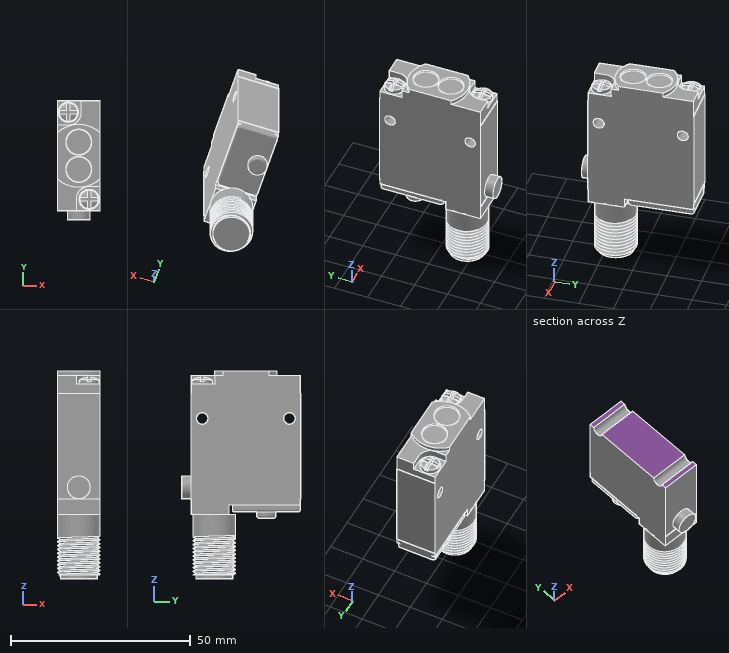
import cadquery as cq
import math

total_height = 58.05
width = 11.95
half_width = width / 2

housing_depth = 30.5
housing_top = 56.8
housing_bottom = 20.6
foot_depth = 10.55
foot_bottom = 18.0
sleeve_proud = 0.1
sleeve_bottom = 22.25
sleeve_top = 51.8

mount_hole_diameter = 3.15
mount_hole_z = 44.8
mount_hole_inset = 3.1

pedestal_diameter = 17.55
lens_spacing = 7.6
lens_rim_diameter = 7.25
lens_floor_diameter = 7.0
lens_depth = 0.45

pocket_side = 6.7
pocket_corner_radius = 3.55
pocket_floor = 54.35
screw_inset = 3.1
screw_diameter = 5.65
screw_rim_height = 0.7
screw_edge_height = 1.3
screw_head_height = 2.0
screw_dome_diameter = 5.15
screw_slot_width = 1.0
screw_slot_length = 5.0
screw_slot_depth = 1.3

button_diameter = 6.4
button_z = 25.55
button_length = 2.55

cover_length = 19.0
cover_thickness = 1.9
cover_corner_radius = 0.95
cover_edge_radius = 0.6
cover_side_gap = 0.1
knob_diameter = 5.4
knob_y = 20.95
knob_height = 1.8
knob_edge_radius = 0.75

connector_diameter = width
connector_y = 6.45
thread_pitch = 1.07
thread_depth = 0.8
thread_crest_flat = 0.05
thread_bottom = 1.1
thread_turns = 11.27
thread_end_z = 11.75
tip_diameter = connector_diameter - 2 * thread_depth

middle_y = housing_depth / 2
screw_x = screw_inset - half_width


def cylinder_z(x, y, z, diameter, height):
    """Upright cylinder standing on height z."""
    return cq.Workplane("XY", origin=(x, y, z)).circle(diameter / 2).extrude(height)


def box_between(x0, x1, y0, y1, z0, z1):
    """Box given by its limits along each axis."""
    return cq.Workplane("XY").box(x1 - x0, y1 - y0, z1 - z0, centered=False).translate((x0, y0, z0))


def make_housing():
    """Body with a lower foot at the front and a slightly proud middle sleeve."""
    upper = box_between(-half_width, half_width, 0, housing_depth, housing_bottom, housing_top)
    foot = box_between(-half_width, half_width, 0, foot_depth, foot_bottom, housing_bottom)
    sleeve = box_between(
        -half_width, half_width, -sleeve_proud, housing_depth + sleeve_proud, sleeve_bottom, sleeve_top
    )
    return upper.union(foot).union(sleeve)


def make_pedestal():
    """Round block on the top, cut flush with both sides and hollowed by two slightly tapered lens seats."""
    height = total_height - housing_top
    disc = cylinder_z(0, middle_y, housing_top, pedestal_diameter, height)
    strip = box_between(-half_width, half_width, 0, housing_depth, housing_top, total_height)
    pedestal = disc.intersect(strip)
    taper = math.degrees(math.atan((lens_rim_diameter - lens_floor_diameter) / 2 / lens_depth))
    for side in (-1, 1):
        seat = (
            cq.Workplane("XY", origin=(0, middle_y + side * lens_spacing / 2, total_height))
            .circle(lens_rim_diameter / 2)
            .extrude(-lens_depth, taper=taper)
        )
        pedestal = pedestal.cut(seat)
    return pedestal


def make_pocket():
    """Cutter for the pocket in the back left corner, rounded at its inner corner."""
    pocket = box_between(
        -half_width,
        pocket_side - half_width,
        housing_depth - pocket_side,
        housing_depth,
        pocket_floor,
        housing_top,
    )
    return pocket.edges("|Z and >X and <Y").fillet(pocket_corner_radius)


def make_screw():
    """Domed head with a cross slot, standing in the back left pocket."""
    radius = screw_diameter / 2
    dome_base = screw_dome_diameter / 2
    dome_rise = screw_head_height - screw_edge_height
    dome_radius = (dome_base**2 + dome_rise**2) / (2 * dome_rise)
    dome_middle = dome_base / 2
    dome_middle_drop = dome_radius - math.sqrt(dome_radius**2 - dome_middle**2)
    head = (
        cq.Workplane("XZ")
        .lineTo(radius, 0)
        .lineTo(radius, screw_rim_height)
        .tangentArcPoint((dome_base, screw_edge_height), relative=False)
        .threePointArc(
            (dome_middle, screw_head_height - dome_middle_drop),
            (0, screw_head_height),
        )
        .close()
        .revolve(360, (0, 0, 0), (0, 1, 0))
    )
    slot = (
        cq.Workplane("XY", origin=(0, 0, screw_head_height - screw_slot_depth))
        .rect(screw_slot_length, screw_slot_width)
        .extrude(screw_slot_depth)
    )
    head = head.cut(slot).cut(slot.rotate((0, 0, 0), (0, 0, 1), 90))
    return head.translate((screw_x, housing_depth - screw_inset, pocket_floor))


def half_turn(shape):
    """Copy turned half a turn about the vertical middle of the housing."""
    return shape.rotate((0, middle_y, 0), (0, middle_y, 1), 180)


def make_button():
    """Round button standing out from the front of the sleeve."""
    return (
        cq.Workplane("XZ", origin=(0, -sleeve_proud, button_z))
        .circle(button_diameter / 2)
        .extrude(button_length)
    )


def make_cover():
    """Rounded plate under the housing, flush with its back, carrying the adjusting knob."""
    plate_bottom = housing_bottom - cover_thickness
    half_plate = half_width - cover_side_gap
    plate = box_between(
        -half_plate, half_plate, housing_depth - cover_length, housing_depth, plate_bottom, housing_bottom
    )
    plate = plate.edges("|Z").fillet(cover_corner_radius).faces("<Z").edges().fillet(cover_edge_radius)
    knob = cylinder_z(screw_x, knob_y, plate_bottom - knob_height, knob_diameter, knob_height)
    knob = knob.faces("<Z").edges().fillet(knob_edge_radius)
    return plate.union(knob)


def make_connector():
    """Round connector with a right-handed V thread and a plain tip."""
    shank = cylinder_z(0, 0, thread_bottom, connector_diameter, foot_bottom - thread_bottom)
    tip = cylinder_z(0, 0, 0, tip_diameter, thread_bottom)
    crest_radius = connector_diameter / 2
    root_radius = tip_diameter / 2
    half_mouth = (thread_pitch - thread_crest_flat) / 2
    overshoot = thread_depth * thread_crest_flat / 4 / half_mouth
    outer_half_mouth = half_mouth + thread_crest_flat / 4
    thread_length = thread_turns * thread_pitch
    start_z = thread_end_z - thread_length
    path = cq.Workplane(cq.Wire.makeHelix(thread_pitch, thread_length, root_radius))
    groove = (
        cq.Workplane("XZ")
        .moveTo(root_radius, 0)
        .lineTo(crest_radius + overshoot, outer_half_mouth)
        .lineTo(crest_radius + overshoot, -outer_half_mouth)
        .close()
        .sweep(path, isFrenet=True)
        .translate((0, 0, start_z))
    )
    return shank.cut(groove).union(tip).translate((0, connector_y, 0))


pocket = make_pocket()
screw = make_screw()
through_holes = (
    cq.Workplane("YZ", origin=(-half_width, 0, mount_hole_z))
    .pushPoints([(mount_hole_inset, 0), (housing_depth - mount_hole_inset, 0)])
    .circle(mount_hole_diameter / 2)
    .extrude(width)
)

result = (
    make_housing()
    .cut(pocket)
    .cut(half_turn(pocket))
    .cut(through_holes)
    .union(make_pedestal())
    .union(screw)
    .union(half_turn(screw))
    .union(make_button())
    .union(make_cover())
    .union(make_connector())
)